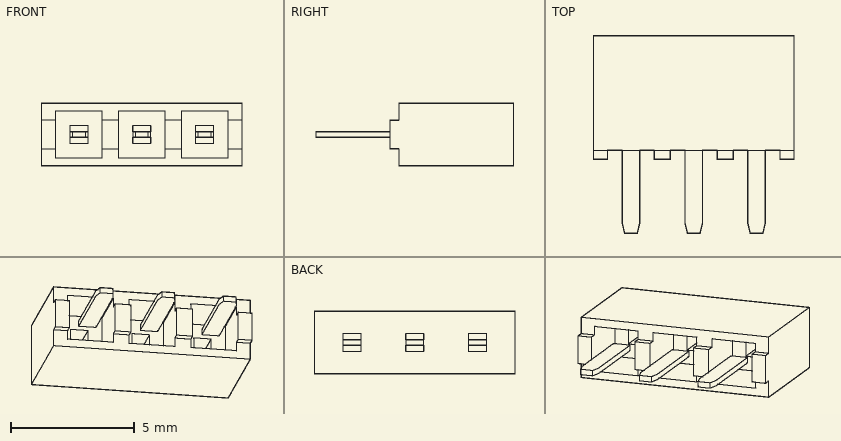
import cadquery as cq

PIN_COUNT = 3
PITCH = 2.54
HOUSING_LENGTH = 8.12
HOUSING_DEPTH = 4.645
HOUSING_HEIGHT = PITCH

POCKET_SIDE = 1.88
POCKET_DEPTH = HOUSING_DEPTH / 2
PASSAGE_SIDE = 0.715

STANDOFF_DEPTH = 0.36
STANDOFF_HEIGHT = 1.17

PIN_WIDTH = PASSAGE_SIDE
PIN_THICKNESS = 0.23
PIN_PROTRUSION = 3.35
PIN_INSERTION = 0.65
TIP_WIDTH = 0.52
TIP_LENGTH = 0.41

pin_positions = [(i - (PIN_COUNT - 1) / 2) * PITCH for i in range(PIN_COUNT)]


def box_along_y(length_x, height_z, y_start, y_end, x_center=0.0):
    """Box centred on Z = 0 that spans y_start to y_end."""
    y_length = y_end - y_start
    return cq.Workplane("XY").box(length_x, y_length, height_z).translate(
        (x_center, y_start + y_length / 2, 0)
    )


def make_housing():
    housing = box_along_y(HOUSING_LENGTH, HOUSING_HEIGHT, 0, HOUSING_DEPTH)

    rail = box_along_y(HOUSING_LENGTH, STANDOFF_HEIGHT, -STANDOFF_DEPTH, 0)
    housing = housing.union(rail)

    for x in pin_positions:
        pocket = box_along_y(POCKET_SIDE, POCKET_SIDE, -STANDOFF_DEPTH, POCKET_DEPTH, x)
        passage = box_along_y(PASSAGE_SIDE, PASSAGE_SIDE, POCKET_DEPTH, HOUSING_DEPTH, x)
        housing = housing.cut(pocket).cut(passage)
    return housing


def make_pin(x_center):
    """Flat pin whose square inner end stands free inside its pocket."""
    tip_y = -PIN_PROTRUSION
    shoulder_y = tip_y + TIP_LENGTH
    outline = [
        (-PIN_WIDTH / 2, PIN_INSERTION),
        (-PIN_WIDTH / 2, shoulder_y),
        (-TIP_WIDTH / 2, tip_y),
        (TIP_WIDTH / 2, tip_y),
        (PIN_WIDTH / 2, shoulder_y),
        (PIN_WIDTH / 2, PIN_INSERTION),
    ]
    pin = cq.Workplane("XY").polyline(outline).close().extrude(PIN_THICKNESS / 2, both=True)
    return pin.translate((x_center, 0, 0))


housing = make_housing()
pins = [make_pin(x) for x in pin_positions]

result = cq.Compound.makeCompound([housing.val(), *[pin.val() for pin in pins]])